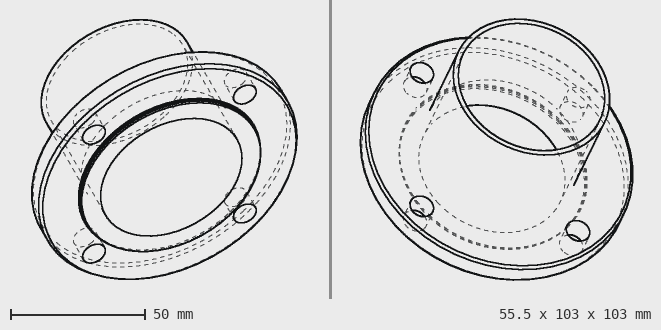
import cadquery as cq

total_length = 55.5
raised_face_height = 1.9
flange_thickness = 9.7
flange_diameter = 103.0
tube_diameter = 60.3
bore_diameter = 56.3
neck_fillet = 4.0

rim_chamfer = 1.0
front_chamfer_length = 1.6

raised_face_diameter = 71.9
root_flare = 0.3
face_edge_length = 0.7
face_edge_depth = 0.3

bolt_hole_diameter = 9.1
bolt_circle_diameter = 85.0
bolt_count = 4
first_bolt_angle = 45

flange_front = total_length - raised_face_height
flange_back = flange_front - flange_thickness
flange_radius = flange_diameter / 2
rim_radius = flange_radius - rim_chamfer
tube_radius = tube_diameter / 2
raised_face_radius = raised_face_diameter / 2
face_end_radius = raised_face_radius - face_edge_depth


def turned_body():
    """Revolve the outer half-profile, drawn as (x, radius), about the X axis."""
    return (
        cq.Workplane("XY")
        .lineTo(0, tube_radius)
        .lineTo(flange_back - neck_fillet, tube_radius)
        .radiusArc((flange_back, tube_radius + neck_fillet), -neck_fillet)
        .lineTo(flange_back, rim_radius)
        .lineTo(flange_back + rim_chamfer, flange_radius)
        .lineTo(flange_front - front_chamfer_length, flange_radius)
        .lineTo(flange_front, rim_radius)
        .lineTo(flange_front, raised_face_radius + root_flare)
        .lineTo(flange_front + root_flare, raised_face_radius)
        .lineTo(total_length - face_edge_length, raised_face_radius)
        .lineTo(total_length, face_end_radius)
        .lineTo(total_length, 0)
        .close()
        .revolve(360, (0, 0, 0), (1, 0, 0))
    )


def bore():
    return cq.Workplane("YZ").circle(bore_diameter / 2).extrude(total_length)


def bolt_holes():
    return (
        cq.Workplane("YZ")
        .workplane(offset=flange_back)
        .polarArray(bolt_circle_diameter / 2, first_bolt_angle, 360, bolt_count)
        .circle(bolt_hole_diameter / 2)
        .extrude(flange_thickness)
    )


result = turned_body().cut(bore()).cut(bolt_holes())